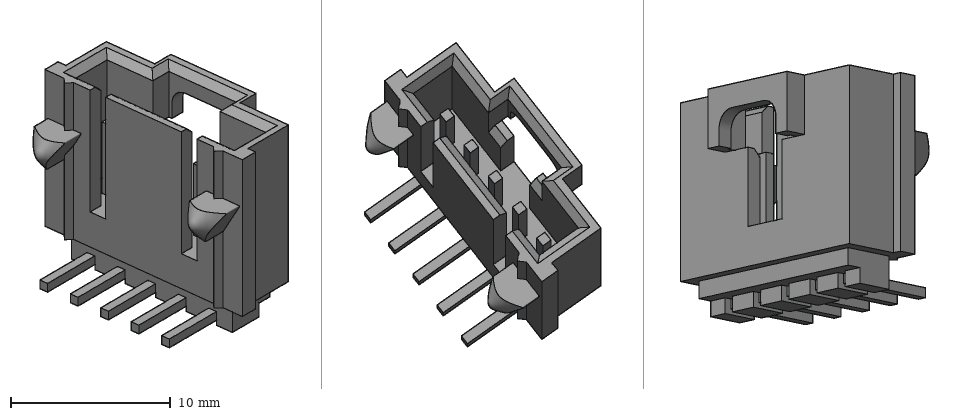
import cadquery as cq
import math


height = 13.59
housing_bottom = 2.13
floor_top = 4.69
key_bottom = 9.77

flange_width = 16.51
flange_depth = 1.25
body_width = 15.22
body_back = 5.09

cavity_width = 13.25
cavity_front = 1.02
cavity_back = 4.05
mouth_bevel = 0.51
mouth_bevel_height = 0.48

key_width = 7.13
key_back = 6.6
key_cavity_width = 5.61
key_cavity_back = 5.56
key_window_width = 5.1
key_window_top = 12.05
key_window_radius = 1.15
back_slot_width = 3.05

front_slot_width = 1.3
front_slot_x = 3.81
rib_x = 6.24
rib_half_width = 0.4
rib_depth = 0.41

peg_x = 6.62
peg_top = 10.12
peg_side = 2.85
peg_edge_radius = 0.05
peg_tip_x = 6.42
peg_tip_drop = 1.0
peg_length = 2.7
peg_tip_radius = 0.58
peg_cone_slope = 41.0

base_width = 13.45
base_front = 0.78
base_back = 4.33
base_foot_back = 3.32
base_foot_top = 1.0

pin_count = 5
pin_pitch = 2.55
pin_size = 0.65
pin_y = 2.51
pin_front = -3.68
pin_bottom = 0.36
pin_top = 9.9


def block(x_min, x_max, y_min, y_max, z_min, z_max):
    """Box between the given limits."""
    size = (x_max - x_min, y_max - y_min, z_max - z_min)
    return cq.Workplane("XY").box(*size, centered=False).translate((x_min, y_min, z_min))


def centred_block(width, y_min, y_max, z_min, z_max):
    """Box centred on X = 0."""
    return block(-width / 2, width / 2, y_min, y_max, z_min, z_max)


def mouth_outline(growth):
    """Corners of the T-shaped cavity opening, each side moved outward by growth."""
    half = cavity_width / 2 + growth
    key_half = key_cavity_width / 2 + growth
    front = cavity_front - growth
    back = cavity_back + growth
    key_end = key_cavity_back + growth
    return [
        (-half, front),
        (half, front),
        (half, back),
        (key_half, back),
        (key_half, key_end),
        (-key_half, key_end),
        (-key_half, back),
        (-half, back),
    ]


def outer_shell():
    """Solid housing: body, front flange and polarising key."""
    body = centred_block(body_width, 0, body_back, housing_bottom, height)
    flange = centred_block(flange_width, 0, flange_depth, housing_bottom, height)
    key = centred_block(key_width, cavity_back, key_back, key_bottom, height)
    return body.union(flange).union(key)


def cavity():
    """Space inside the housing, with the bevels around its mouth and on the ledge below the key."""
    bevel_bottom = height - mouth_bevel_height
    main = centred_block(cavity_width, cavity_front, cavity_back, floor_top, height)
    key = centred_block(key_cavity_width, cavity_front, key_cavity_back, key_bottom, height)
    mouth = (
        cq.Workplane("XY", origin=(0, 0, bevel_bottom))
        .polyline(mouth_outline(0)).close()
        .workplane(offset=mouth_bevel_height)
        .polyline(mouth_outline(mouth_bevel)).close()
        .loft(ruled=True)
    )
    ledge_bevel = (
        cq.Workplane("YZ")
        .polyline([
            (cavity_back, key_bottom - mouth_bevel_height),
            (cavity_back + mouth_bevel, key_bottom),
            (cavity_back, key_bottom),
        ])
        .close()
        .extrude(key_cavity_width / 2, both=True)
    )
    return main.union(key).union(mouth).union(ledge_bevel)


def back_openings():
    """Slot through the back wall and arched window through the back of the key."""
    slot = centred_block(back_slot_width, cavity_back, body_back, floor_top, key_bottom)
    window = (
        centred_block(key_window_width, key_cavity_back, key_back, key_bottom, key_window_top)
        .edges("|Y and >Z").fillet(key_window_radius)
    )
    return slot.union(window)


def front_slot(side):
    """Slot through the front wall, open at the top."""
    slot = block(
        -front_slot_width / 2, front_slot_width / 2, 0, cavity_front, floor_top, height
    )
    return slot.translate((side * front_slot_x, 0, 0))


def front_rib(side):
    """Vertical V-shaped rib on the front face."""
    return (
        cq.Workplane("XY", origin=(side * rib_x, 0, housing_bottom))
        .polyline([(-rib_half_width, 0), (rib_half_width, 0), (0, -rib_depth)])
        .close()
        .extrude(height - housing_bottom)
    )


def peg(side):
    """Triangular peg pointing forward, its end cut to a cone with a rounded tip."""
    triangle_height = peg_side * math.sin(math.radians(60))
    prism = (
        cq.Workplane("XZ")
        .polyline([
            (side * peg_x - peg_side / 2, peg_top),
            (side * peg_x + peg_side / 2, peg_top),
            (side * peg_x, peg_top - triangle_height),
        ])
        .close()
        .extrude(peg_length)
        .edges("|Y").fillet(peg_edge_radius)
    )

    slope = math.radians(peg_cone_slope)
    cap_radius = peg_tip_radius * math.sin(slope)
    cap_y = -peg_length + peg_tip_radius * (1 - math.cos(slope))
    cap_middle = (
        peg_tip_radius * math.sin(slope / 2),
        -peg_length + peg_tip_radius * (1 - math.cos(slope / 2)),
    )
    cone_radius = cap_radius - cap_y / math.tan(slope)
    point = (
        cq.Workplane("XY")
        .moveTo(0, -peg_length)
        .threePointArc(cap_middle, (cap_radius, cap_y))
        .lineTo(cone_radius, 0)
        .lineTo(0, 0)
        .close()
        .revolve(360, (0, 0, 0), (0, 1, 0))
        .translate((side * peg_tip_x, 0, peg_top - peg_tip_drop))
    )
    return prism.intersect(point)


def base():
    """Base under the housing, with a narrower foot grooved along each pin."""
    ledge = centred_block(base_width, base_front, base_back, base_foot_top, housing_bottom)
    foot = centred_block(base_width, base_front, base_foot_back, 0, base_foot_top)
    for x in pin_positions:
        groove = centred_block(pin_size, base_front, base_foot_back, 0, base_foot_top)
        foot = foot.cut(groove.translate((x, 0, 0)))
    return ledge.union(foot)


def pin(x):
    """Square pin that rises in the cavity and bends forward under the base."""
    pin_back = pin_y + pin_size / 2
    tail = centred_block(pin_size, pin_front, pin_back, pin_bottom, pin_bottom + pin_size)
    post = centred_block(pin_size, pin_back - pin_size, pin_back, pin_bottom, pin_top)
    return tail.union(post).translate((x, 0, 0))


pin_positions = [(i - (pin_count - 1) / 2) * pin_pitch for i in range(pin_count)]

result = outer_shell().cut(cavity()).cut(back_openings())
for side in (-1, 1):
    result = result.cut(front_slot(side))
    result = result.union(front_rib(side))
    result = result.union(peg(side))
result = result.union(base())
for x in pin_positions:
    result = result.union(pin(x))